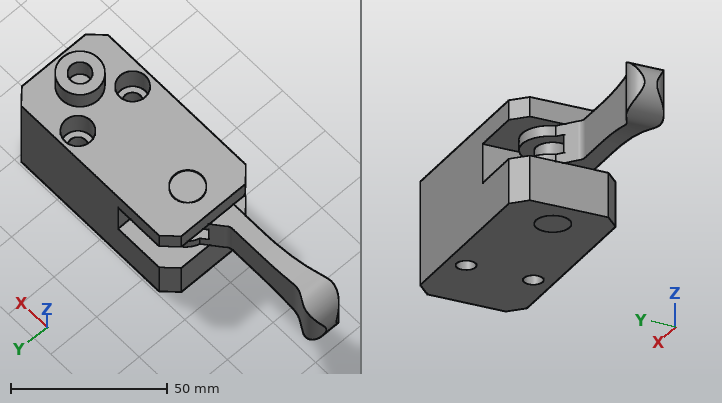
import cadquery as cq
import math

BLOCK_LENGTH = 75.0
BLOCK_WIDTH = 38.0
BLOCK_HEIGHT = 37.0
CORNER_CHAMFER = 5.0

SLOT_DEPTH = 24.3
SLOT_BOTTOM = 16.0
SLOT_HEIGHT = 14.0
SLOT_MIDDLE = SLOT_BOTTOM + SLOT_HEIGHT / 2

BOSS_X = 62.6
BOSS_DIAMETER = 16.0
BOSS_HEIGHT = 8.0
BOSS_BORE = BOSS_DIAMETER / 2

SCREW_X = 50.8
SCREW_SPACING = 24.0
SCREW_HOLE = 6.7
COUNTERBORE_DIAMETER = 11.2
COUNTERBORE_DEPTH = 10.1

PIN_X = 12.0
PIN_DIAMETER = 12.0
PIN_RECESS = 0.5

EYE_RADIUS = 10.0
EYE_OFFSET = 1.0
FORK_ROOT_X = 1.9
FORK_ROOT_TILT = 9.0
FORK_GAP = 6.4

ARM_FRONT_Y = EYE_OFFSET - EYE_RADIUS
ARM_BACK_Y = -2.5
FLARE_START_X = -19.9
FRONT_FLARE_START_X = -12.9
FILLET_START_X = -6.3
RAMP_START = (-3.9, -1.4)
RAMP_END = (2.4, 3.7)

FREE_LENGTH = 126 - BLOCK_LENGTH
TIP_X = -FREE_LENGTH
KNOB_RADIUS = 9.6
KNOB_X = TIP_X + KNOB_RADIUS
FLARE_END_X = -39.3
KNOB_FRONT_START = (-41.1, -11.5)
KNOB_FRONT_MIDDLE = (-46.1, -11.2)
KNOB_FRONT_END = (TIP_X, -6.4)
KNOB_BACK_START = (TIP_X, -2.0)
KNOB_BACK_PEAK = (-46.4, 1.4)
KNOB_BACK_END = (-43.1, 0.8)
NECK_START = (FLARE_END_X, -1.4)
NECK_END = (-34.8, ARM_BACK_Y)


def make_housing():
    block = (
        cq.Workplane("XY")
        .box(BLOCK_LENGTH, BLOCK_WIDTH, BLOCK_HEIGHT, centered=(False, True, False))
        .edges("|Z")
        .chamfer(CORNER_CHAMFER)
    )
    slot = (
        cq.Workplane("XY", origin=(0, 0, SLOT_BOTTOM))
        .box(SLOT_DEPTH, BLOCK_WIDTH, SLOT_HEIGHT, centered=(False, True, False))
    )
    top_plane = cq.Workplane("XY", origin=(0, 0, BLOCK_HEIGHT))
    boss = top_plane.center(BOSS_X, 0).circle(BOSS_DIAMETER / 2).extrude(BOSS_HEIGHT)
    boss_bore = top_plane.center(BOSS_X, 0).circle(BOSS_BORE / 2).extrude(BOSS_HEIGHT)
    pin_hole = cq.Workplane("XY").center(PIN_X, 0).circle(PIN_DIAMETER / 2).extrude(BLOCK_HEIGHT)
    housing = block.cut(slot).union(boss).cut(boss_bore).cut(pin_hole)

    screw_points = [(SCREW_X, side * SCREW_SPACING / 2) for side in (-1, 1)]
    screw_holes = cq.Workplane("XY").pushPoints(screw_points).circle(SCREW_HOLE / 2).extrude(BLOCK_HEIGHT)
    counterbores = (
        top_plane.pushPoints(screw_points)
        .circle(COUNTERBORE_DIAMETER / 2)
        .extrude(-COUNTERBORE_DEPTH)
    )
    return housing.cut(screw_holes).cut(counterbores)


def make_pin():
    return (
        cq.Workplane("XY")
        .center(PIN_X, 0)
        .circle(PIN_DIAMETER / 2)
        .extrude(BLOCK_HEIGHT - PIN_RECESS)
    )


def lever_plan():
    """Arm and knob outline extruded along Z, joined to the full-height eye."""
    arm = (
        cq.Workplane("XY", origin=(0, 0, SLOT_MIDDLE))
        .moveTo(PIN_X, ARM_FRONT_Y)
        .lineTo(FRONT_FLARE_START_X, ARM_FRONT_Y)
        .tangentArcPoint(KNOB_FRONT_START, relative=False)
        .threePointArc(KNOB_FRONT_MIDDLE, KNOB_FRONT_END)
        .lineTo(*KNOB_BACK_START)
        .threePointArc(KNOB_BACK_PEAK, KNOB_BACK_END)
        .lineTo(*NECK_START)
        .tangentArcPoint(NECK_END, relative=False)
        .lineTo(FILLET_START_X, ARM_BACK_Y)
        .tangentArcPoint(RAMP_START, relative=False)
        .lineTo(*RAMP_END)
        .lineTo(PIN_X, EYE_OFFSET)
        .close()
        .extrude(KNOB_RADIUS, both=True)
    )
    eye = (
        cq.Workplane("XY", origin=(PIN_X, EYE_OFFSET, SLOT_MIDDLE))
        .circle(EYE_RADIUS)
        .extrude(KNOB_RADIUS, both=True)
    )
    return arm.union(eye)


def lever_side():
    """Side outline: slot-height arm flaring out to the round knob, extruded along Y."""
    half_arm = SLOT_HEIGHT / 2
    flare_half = math.sqrt(KNOB_RADIUS**2 - (FLARE_END_X - KNOB_X) ** 2)
    eye_end = PIN_X + EYE_RADIUS
    flare_run = FLARE_START_X - FLARE_END_X
    flare_rise = flare_half - half_arm
    flare_radius = (flare_run**2 + flare_rise**2) / (2 * flare_rise)
    return (
        cq.Workplane("XZ", origin=(0, 0, SLOT_MIDDLE))
        .moveTo(eye_end, half_arm)
        .lineTo(FLARE_START_X, half_arm)
        .radiusArc((FLARE_END_X, flare_half), flare_radius)
        .threePointArc((TIP_X, 0), (FLARE_END_X, -flare_half))
        .radiusArc((FLARE_START_X, -half_arm), flare_radius)
        .lineTo(eye_end, -half_arm)
        .close()
        .extrude(BLOCK_WIDTH / 2, both=True)
    )


def make_lever():
    eye_end = PIN_X + EYE_RADIUS
    eye_back_y = EYE_OFFSET + EYE_RADIUS
    root_shift = 2 * EYE_RADIUS * math.tan(math.radians(FORK_ROOT_TILT))
    fork_gap = (
        cq.Workplane("XY", origin=(0, 0, SLOT_MIDDLE))
        .moveTo(FORK_ROOT_X, ARM_FRONT_Y)
        .lineTo(eye_end, ARM_FRONT_Y)
        .lineTo(eye_end, eye_back_y)
        .lineTo(FORK_ROOT_X - root_shift, eye_back_y)
        .close()
        .extrude(FORK_GAP / 2, both=True)
    )
    pin_hole = (
        cq.Workplane("XY", origin=(PIN_X, 0, SLOT_BOTTOM))
        .circle(PIN_DIAMETER / 2)
        .extrude(SLOT_HEIGHT)
    )
    return lever_plan().intersect(lever_side()).cut(fork_gap).cut(pin_hole)


housing = make_housing()
lever = make_lever()
pin = make_pin()

result = cq.Compound.makeCompound([*housing.solids().vals(), *lever.solids().vals(), pin.val()])